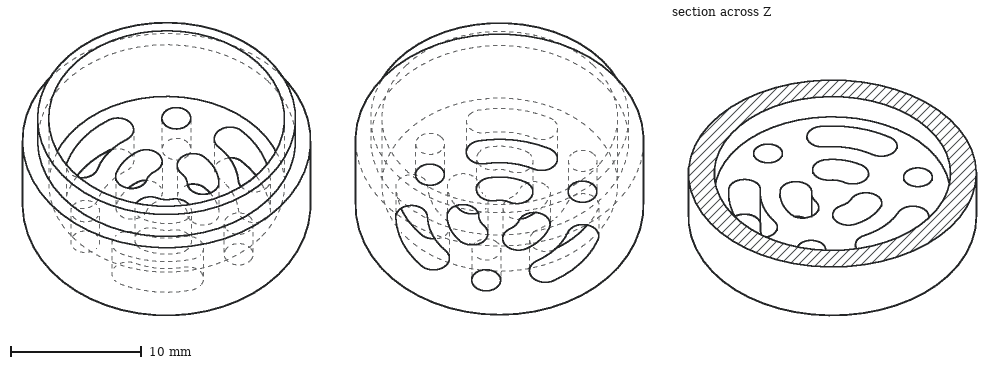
import cadquery as cq
import math

body_diameter = 22.0
lip_diameter = 19.7
bore_diameter = 18.0
total_height = 11.0
lip_height = 2.5
floor_thickness = 3.5
bottom_fillet = 1.2

repeat_count = 3
repeat_angle = 360 / repeat_count
first_slot_angle = 90
first_hole_angle = 30
hole_diameter = 2.2
hole_circle_radius = 6.8
slot_width = 2.42
slot_half_angle = 20
outer_slot_radius = 6.7
inner_slot_radius = 2.8


def polar(radius, angle):
    """Point at a radius and an angle in degrees."""
    return (radius * math.cos(math.radians(angle)), radius * math.sin(math.radians(angle)))


def disc(diameter, height):
    """Cylinder standing on the bottom plane."""
    return cq.Workplane("XY").circle(diameter / 2).extrude(height)


def arc_slot(radius, middle_angle):
    """Cutter for a round-ended slot that follows an arc about the axis."""
    start = middle_angle - slot_half_angle
    end = middle_angle + slot_half_angle
    inside = radius - slot_width / 2
    outside = radius + slot_width / 2
    start_x, start_y = polar(radius, start)
    end_x, end_y = polar(radius, end)
    tip_x, tip_y = polar(slot_width / 2, end + 90)
    tail_x, tail_y = polar(slot_width / 2, start - 90)
    return (
        cq.Workplane("XY")
        .moveTo(*polar(inside, start))
        .threePointArc(polar(inside, middle_angle), polar(inside, end))
        .threePointArc((end_x + tip_x, end_y + tip_y), polar(outside, end))
        .threePointArc(polar(outside, middle_angle), polar(outside, start))
        .threePointArc((start_x + tail_x, start_y + tail_y), polar(inside, start))
        .close()
        .extrude(floor_thickness)
    )


body = disc(body_diameter, total_height - lip_height).faces("<Z").edges().fillet(bottom_fillet)
lip = disc(lip_diameter, total_height)
lip = lip.intersect(disc(body_diameter, total_height).translate((0, 0, floor_thickness)))
bore = disc(bore_diameter, total_height).translate((0, 0, floor_thickness))
result = body.union(lip).cut(bore)

for index in range(repeat_count):
    turn = index * repeat_angle
    hole_x, hole_y = polar(hole_circle_radius, first_hole_angle + turn)
    result = result.cut(disc(hole_diameter, floor_thickness).translate((hole_x, hole_y, 0)))
    for slot_radius in (outer_slot_radius, inner_slot_radius):
        result = result.cut(arc_slot(slot_radius, first_slot_angle + turn))